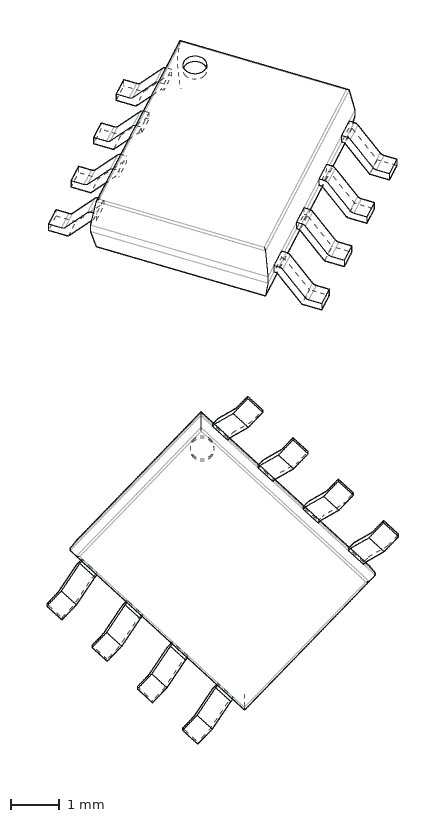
import cadquery as cq
import math

SPAN = 6.0
TOP_HEIGHT = 1.65

HOUSING_X = 3.9
HOUSING_Y = 4.9
HOUSING_BOTTOM = 0.185
TAPER_INSET = 0.095
EDGE_RADIUS = 0.05

MARK_DIAMETER = 0.485
MARK_DEPTH = 0.17
MARK_EDGE_DISTANCE = 0.63

LEADS_PER_SIDE = 4
LEAD_PITCH = 1.27
LEAD_WIDTH = 0.425
LEAD_THICKNESS = 0.2
LEAD_TOP = 0.94
FOOT_LENGTH = 0.335
SHOULDER_LENGTH = 0.16
BEND_RADIUS = 0.1

BAND_BOTTOM = LEAD_TOP - LEAD_THICKNESS


def tapered_half(base_z, end_z):
    """Half of the housing, narrowing from the band at base_z to the outer face at end_z."""
    base = cq.Workplane("XY", origin=(0, 0, base_z)).rect(HOUSING_X, HOUSING_Y)
    end = base.workplane(offset=end_z - base_z)
    return end.rect(HOUSING_X - 2 * TAPER_INSET, HOUSING_Y - 2 * TAPER_INSET).loft(ruled=True)


def make_housing():
    """Molded package: straight band, two tapered halves, rounded rims and the pin-one mark."""
    band = cq.Workplane("XY", origin=(0, 0, BAND_BOTTOM)).rect(HOUSING_X, HOUSING_Y).extrude(LEAD_THICKNESS)
    upper = tapered_half(LEAD_TOP, TOP_HEIGHT)
    lower = tapered_half(BAND_BOTTOM, HOUSING_BOTTOM)
    housing = band.union(upper).union(lower)
    housing = housing.faces(">Z or <Z").edges().fillet(EDGE_RADIUS)

    mark_x = MARK_EDGE_DISTANCE - HOUSING_X / 2
    mark_y = HOUSING_Y / 2 - MARK_EDGE_DISTANCE
    mark = (
        cq.Workplane("XY", origin=(mark_x, mark_y, TOP_HEIGHT - MARK_DEPTH))
        .circle(MARK_DIAMETER / 2)
        .extrude(MARK_DEPTH)
    )
    return housing.cut(mark)


def make_left_lead(y):
    """Gull-wing lead on the -X side, centered at y and ending flush on the housing wall."""
    tip_x = -SPAN / 2
    wall_x = -HOUSING_X / 2
    foot_bend_x = tip_x + FOOT_LENGTH
    shoulder_bend_x = wall_x - SHOULDER_LENGTH

    slope_angle = math.atan2(LEAD_TOP - LEAD_THICKNESS, shoulder_bend_x - foot_bend_x)
    lower_shift = LEAD_THICKNESS * math.tan(slope_angle / 2)

    lead = (
        cq.Workplane("XZ", origin=(0, y + LEAD_WIDTH / 2, 0))
        .moveTo(tip_x, 0)
        .lineTo(foot_bend_x + lower_shift, 0)
        .lineTo(shoulder_bend_x + lower_shift, BAND_BOTTOM)
        .lineTo(wall_x, BAND_BOTTOM)
        .lineTo(wall_x, LEAD_TOP)
        .lineTo(shoulder_bend_x, LEAD_TOP)
        .lineTo(foot_bend_x, LEAD_THICKNESS)
        .lineTo(tip_x, LEAD_THICKNESS)
        .close()
        .extrude(LEAD_WIDTH)
    )
    foot_bend = cq.selectors.NearestToPointSelector((foot_bend_x, y, LEAD_THICKNESS))
    shoulder_bend = cq.selectors.NearestToPointSelector((shoulder_bend_x, y, LEAD_TOP))
    return lead.edges(foot_bend + shoulder_bend).fillet(BEND_RADIUS)


housing = make_housing()

leads = []
for index in range(LEADS_PER_SIDE):
    lead_y = (index - (LEADS_PER_SIDE - 1) / 2) * LEAD_PITCH
    left_lead = make_left_lead(lead_y)
    leads.append(left_lead.solids().val())
    leads.append(left_lead.mirror("YZ").solids().val())

result = cq.Compound.makeCompound([housing.solids().val(), *leads])